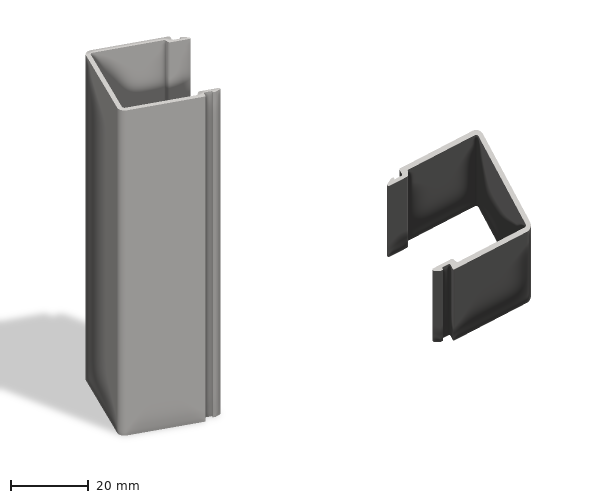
import cadquery as cq

width = 30.0
depth = 28.1
length = 100.0

wall = 1.3
outer_radius = 2.0
inner_radius = outer_radius - wall

shoulder_drop = 4.7
step_drop = 5.9
step_slope = 0.6
lip_outer = 1.9
lip_inner = 2.8
step_radius = 0.7
step_root_radius = 0.3
shoulder_radius = 0.3
lip_root_radius = 0.4

hook_outer = 1.3
hook_base_drop = 2.4
hook_nose_drop = 1.6
nose_radius = 0.3
tip_width = 0.6
tip_radius = 0.25

half_width = width / 2
rim = depth / 2
floor = -depth / 2


def half_profile():
    """Right half of the channel section, closed along the symmetry plane."""
    outside = [
        (0, floor),
        (half_width, floor),
        (half_width, rim - shoulder_drop),
        (half_width - lip_outer, rim - shoulder_drop),
    ]
    hook = [
        (half_width - lip_outer, rim - hook_base_drop),
        (half_width - hook_outer, rim - hook_base_drop),
        (half_width - hook_outer, rim - hook_nose_drop),
        (half_width - lip_inner + tip_width, rim),
        (half_width - lip_inner, rim),
    ]
    inside = [
        (half_width - lip_inner, rim - step_drop),
        (half_width - wall, rim - step_drop - step_slope),
        (half_width - wall, floor + wall),
        (0, floor + wall),
    ]
    return cq.Workplane("XY").polyline(outside + hook + inside).close()


def round_edge(body, x, y, radius):
    """Round the lengthwise edge that passes through the given section point."""
    edge = cq.selectors.NearestToPointSelector((x, y, length / 2))
    return body.edges("|Z").edges(edge).fillet(radius)


half = half_profile().extrude(length)
half = round_edge(half, half_width, floor, outer_radius)
half = round_edge(half, half_width - wall, floor + wall, inner_radius)
half = round_edge(half, half_width - lip_inner, rim - step_drop, step_radius)
half = round_edge(half, half_width - wall, rim - step_drop - step_slope, step_root_radius)
half = round_edge(half, half_width, rim - shoulder_drop, shoulder_radius)
half = round_edge(half, half_width - lip_outer, rim - shoulder_drop, lip_root_radius)
half = round_edge(half, half_width - hook_outer, rim - hook_nose_drop, nose_radius)
half = round_edge(half, half_width - lip_inner, rim, tip_radius)
half = round_edge(half, half_width - lip_inner + tip_width, rim, tip_radius)

result = half.union(half.mirror("YZ")).clean()